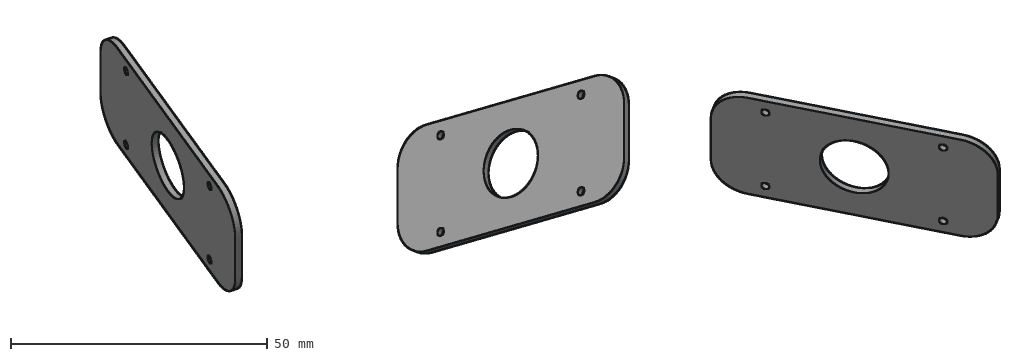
import cadquery as cq

length = 58.2
thickness = 1.5
height = 26.2
corner_radius = 7.5

opening_diameter = 13.9

mount_diameter = 1.65
mount_spacing_x = 36.0
mount_spacing_z = 20.0

plate = cq.Workplane("XY").box(length, thickness, height).edges("|Y").fillet(corner_radius)

plate = plate.faces("<Y").workplane(centerOption="CenterOfBoundBox").hole(opening_diameter)
result = (
    plate.faces("<Y")
    .workplane(centerOption="CenterOfBoundBox")
    .rect(mount_spacing_x, mount_spacing_z, forConstruction=True)
    .vertices()
    .hole(mount_diameter)
)